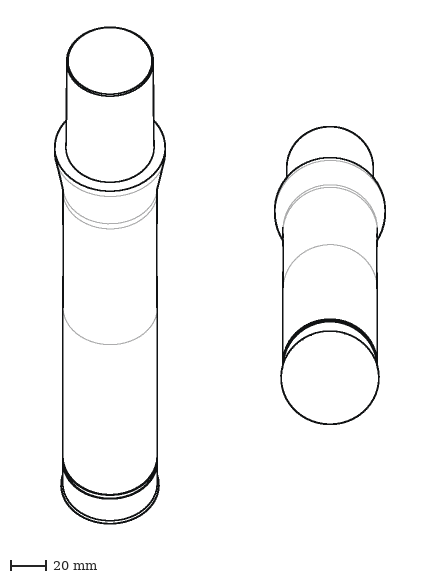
import cadquery as cq
import math

total_height = 396.0
grip_radius = 53.5 / 2
waist_radius = 53.0 / 2
collar_radius = 62.5 / 2
rod_radius = 50.0 / 2

foot_radius = 27.7
foot_rim_height = 1.5
foot_top = 3.0

groove_bottom = 23.5
groove_top = 27.0
groove_depth = 0.5

waist_bottom = 167.0
waist_top = 275.0

flare_bottom = 279.5
flare_top = 311.0
collar_top = 315.5

socket_depth = collar_top - flare_bottom
rod_top_radius = 24.5
rod_chamfer = 0.8


def make_sleeve():
    """Turned sleeve with a slightly domed foot, groove, waist and flared collar, bored for the rod."""
    groove_radius = grip_radius - groove_depth
    waist_middle = (waist_bottom + waist_top) / 2
    dome_radius = (foot_radius**2 + foot_rim_height**2) / (2 * foot_rim_height)
    half_foot = foot_radius / 2
    dome_middle = (half_foot, dome_radius - math.sqrt(dome_radius**2 - half_foot**2))
    outer = (
        cq.Workplane("XZ")
        .moveTo(0, 0)
        .threePointArc(dome_middle, (foot_radius, foot_rim_height))
        .lineTo(grip_radius, foot_top)
        .lineTo(grip_radius, groove_bottom)
        .lineTo(groove_radius, groove_bottom)
        .lineTo(groove_radius, groove_top)
        .lineTo(grip_radius, groove_top)
        .lineTo(grip_radius, waist_bottom)
        .threePointArc((waist_radius, waist_middle), (grip_radius, waist_top))
        .lineTo(grip_radius, flare_bottom)
        .lineTo(collar_radius, flare_top)
        .lineTo(collar_radius, collar_top)
        .lineTo(0, collar_top)
        .close()
        .revolve(360, (0, 0), (0, 1))
    )
    socket = (
        cq.Workplane("XY")
        .workplane(offset=collar_top - socket_depth)
        .circle(rod_radius)
        .extrude(socket_depth)
    )
    return outer.cut(socket)


def make_rod():
    """Round rod that narrows slightly towards its chamfered top."""
    rod_bottom = collar_top - socket_depth
    return (
        cq.Workplane("XZ")
        .moveTo(0, rod_bottom)
        .lineTo(rod_radius, rod_bottom)
        .lineTo(rod_radius, collar_top)
        .lineTo(rod_top_radius, total_height - rod_chamfer)
        .lineTo(rod_top_radius - rod_chamfer, total_height)
        .lineTo(0, total_height)
        .close()
        .revolve(360, (0, 0), (0, 1))
    )


sleeve = make_sleeve()
rod = make_rod()

result = cq.Compound.makeCompound([sleeve.val(), rod.val()])